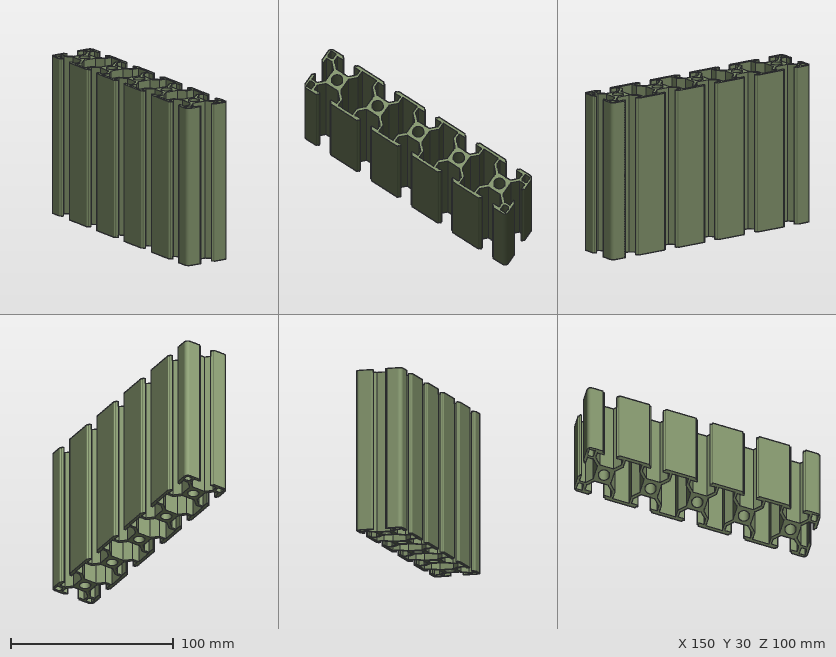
import cadquery as cq

LENGTH = 150.0
DEPTH = 30.0
HEIGHT = 100.0
CORNER_RADIUS = 2.5

PITCH = DEPTH
CORE_COUNT = 5
CORE_SIZE = 11.2
CORE_HALF = CORE_SIZE / 2
BORE_DIAMETER = 6.9

LIP_HALF = 4.0
LIP_OVERHANG = 1.12
MOUTH_HALF = LIP_HALF + LIP_OVERHANG
LIP_STEP = 0.9
LIP_RADIUS = 0.38
FLANGE = 1.5

SLOT_LIP_DEPTH = 2.2
SLOT_HALF = 8.2
SLOT_FLOOR_HALF = 4.4

END_LIP_DEPTH = 1.8
END_SLOT_HALF = 8.1
END_SLOT_FLOOR_HALF = 4.4

CHAMBER_WALL = 1.8
CHAMBER_HALF_WIDTH = 5.2
CHAMBER_WAIST_HALF = 4.4

HOLLOW_WALL = 1.4
HOLLOW_WIDTH = 3.8
HOLLOW_DEPTH = 4.2
HOLLOW_RADIUS = 1.0

HALF_LENGTH = LENGTH / 2
HALF_DEPTH = DEPTH / 2
core_centers = [(i - (CORE_COUNT - 1) / 2) * PITCH for i in range(CORE_COUNT)]
chamber_centers = [x + PITCH / 2 for x in core_centers[:-1]]


def prism(points):
    """Extrude a closed outline over the full height."""
    return cq.Workplane("XY").polyline(points).close().extrude(HEIGHT)


def mirrored(right_side):
    """Complete the right half of an outline with its mirror image in the Y axis."""
    return right_side + [(-x, y) for x, y in reversed(right_side)]


def slot_cutter(lip_depth, slot_half, floor_half):
    """T-slot opening toward +Y, with the core axis on the Z axis.

    The side walls meet the floor through 45 degree slopes. A flange lies on
    the outer face so that the edges of the mouth can be rounded with the step.
    """
    shoulder = CORE_HALF + slot_half - floor_half
    step_y = HALF_DEPTH - LIP_STEP
    lip_y = HALF_DEPTH - lip_depth
    outline = mirrored([
        (MOUTH_HALF + FLANGE, HALF_DEPTH + FLANGE),
        (MOUTH_HALF + FLANGE, HALF_DEPTH),
        (MOUTH_HALF, HALF_DEPTH),
        (MOUTH_HALF, step_y),
        (LIP_HALF, step_y),
        (LIP_HALF, lip_y),
        (slot_half, lip_y),
        (slot_half, shoulder),
        (floor_half, CORE_HALF),
    ])
    mouth_edges = cq.selectors.BoxSelector(
        (-MOUTH_HALF - LIP_RADIUS, step_y - LIP_RADIUS, 0),
        (MOUTH_HALF + LIP_RADIUS, HALF_DEPTH + LIP_RADIUS, HEIGHT),
    )
    return prism(outline).edges("|Z").edges(mouth_edges).fillet(LIP_RADIUS)


def chamber_cutter():
    """Chamber centred on the Z axis, widest at its waist between two cores."""
    waist_half_width = PITCH / 2 - CORE_HALF
    shoulder = CHAMBER_WAIST_HALF + waist_half_width - CHAMBER_HALF_WIDTH
    upper = mirrored([
        (waist_half_width, CHAMBER_WAIST_HALF),
        (CHAMBER_HALF_WIDTH, shoulder),
        (CHAMBER_HALF_WIDTH, HALF_DEPTH - CHAMBER_WALL),
    ])
    lower = [(-x, -y) for x, y in upper]
    return prism(upper + lower)


def corner_hollow(x_side, y_side):
    """Rectangular hollow, rounded on the two edges facing the end slot."""
    center_x = x_side * (HALF_LENGTH - HOLLOW_WALL - HOLLOW_WIDTH / 2)
    center_y = y_side * (HALF_DEPTH - HOLLOW_WALL - HOLLOW_DEPTH / 2)
    inner_face = "<Y" if y_side > 0 else ">Y"
    hollow = cq.Workplane("XY").rect(HOLLOW_WIDTH, HOLLOW_DEPTH).extrude(HEIGHT)
    hollow = hollow.faces(inner_face).edges("|Z").fillet(HOLLOW_RADIUS)
    return hollow.translate((center_x, center_y, 0))


body = cq.Workplane("XY").rect(LENGTH, DEPTH).extrude(HEIGHT)
body = body.edges("|Z").fillet(CORNER_RADIUS)

back_slot = slot_cutter(SLOT_LIP_DEPTH, SLOT_HALF, SLOT_FLOOR_HALF)
front_slot = back_slot.mirror("XZ")
for x in core_centers:
    body = body.cut(back_slot.translate((x, 0, 0)))
    body = body.cut(front_slot.translate((x, 0, 0)))

end_slot = slot_cutter(END_LIP_DEPTH, END_SLOT_HALF, END_SLOT_FLOOR_HALF)
left_slot = end_slot.rotate((0, 0, 0), (0, 0, 1), 90)
right_slot = left_slot.mirror("YZ")
body = body.cut(left_slot.translate((core_centers[0], 0, 0)))
body = body.cut(right_slot.translate((core_centers[-1], 0, 0)))

chamber = chamber_cutter()
for x in chamber_centers:
    body = body.cut(chamber.translate((x, 0, 0)))

for x_side in (-1, 1):
    for y_side in (-1, 1):
        body = body.cut(corner_hollow(x_side, y_side))

bores = cq.Workplane("XY").pushPoints([(x, 0) for x in core_centers])
body = body.cut(bores.circle(BORE_DIAMETER / 2).extrude(HEIGHT))

result = body